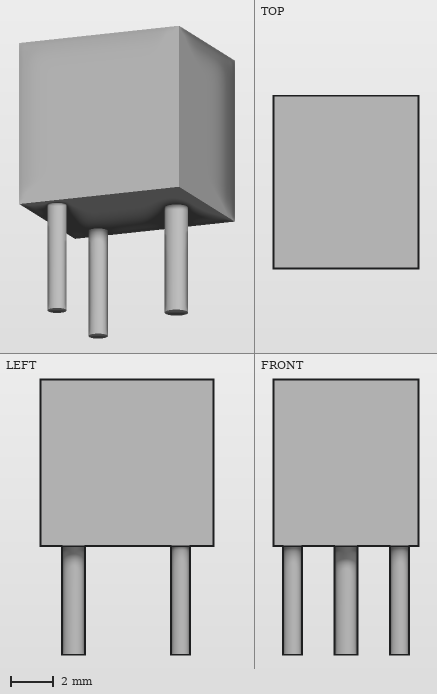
import cadquery as cq

housing_width = 6.8
housing_depth = 8.1
overall_height = 12.9
pin_length = 5.1
housing_height = overall_height - pin_length

thin_pin_diameter = 0.9
thick_pin_diameter = 1.1
pin_offset = 2.5
thin_pin_places = [(-pin_offset, -pin_offset), (pin_offset, -pin_offset)]
thick_pin_place = (0, pin_offset)


def make_housing():
    """Plain block standing on the plane Z = 0."""
    return cq.Workplane("XY").box(
        housing_width, housing_depth, housing_height, centered=(True, True, False)
    )


def make_pin(place, diameter):
    """Round pin hanging down from the underside of the housing."""
    return cq.Workplane("XY").center(*place).circle(diameter / 2).extrude(-pin_length)


housing = make_housing()
thin_pins = [make_pin(place, thin_pin_diameter) for place in thin_pin_places]
thick_pin = make_pin(thick_pin_place, thick_pin_diameter)

result = cq.Compound.makeCompound(
    [housing.val(), *[pin.val() for pin in thin_pins], thick_pin.val()]
)